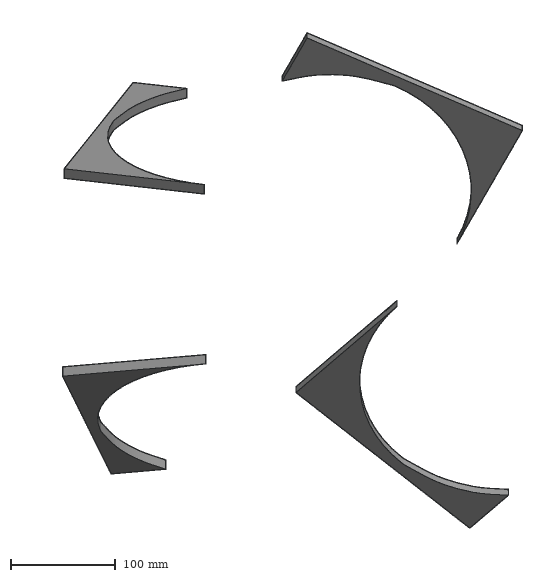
import cadquery as cq
import math

width = 140.0
length = 230.0
thickness = 10.0

arc_radius = 129.7
arc_left_x = width - arc_radius
arc_middle_x = width - arc_radius * math.cos(math.pi / 4)
arc_middle_y = arc_radius * (1 - math.sin(math.pi / 4))

straight_end_y = 132.7
top_width = 53.5
curve_points = [(16.3, 165.1), (25.8, 190.5), (37.0, 209.8), (top_width, length)]
curve_start_direction = (0.19, 1)
curve_end_direction = (0.82, 1)

result = (
    cq.Workplane("XY")
    .moveTo(0, 0)
    .lineTo(width, 0)
    .threePointArc((arc_middle_x, arc_middle_y), (arc_left_x, arc_radius))
    .lineTo(arc_left_x, straight_end_y)
    .spline(
        curve_points,
        tangents=[curve_start_direction, curve_end_direction],
        includeCurrent=True,
    )
    .lineTo(0, length)
    .close()
    .extrude(thickness)
)